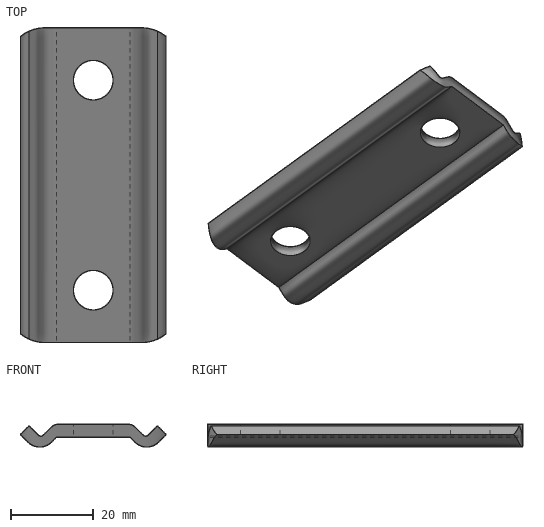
import cadquery as cq
import math

width = 35.3
length = 76.2
height = 5.56

plate_thickness = 3.175
plate_bottom_half_width = 8.9

leg_thickness = 2.62
lip_thickness = 3.0
lip_edge_drop = 2.5
shoulder_radius = 2.33
channel_radius = 0.9

hole_diameter = 9.525
hole_spacing = 50.8

corner_radius = 9.525
corner_depth = 2.15

half_width = width / 2
half_length = length / 2
root_two = math.sqrt(2)


def crossing(leg_sum, lip_difference):
    """Point (x, z) where a leg line x + z = leg_sum meets a lip line x - z = lip_difference."""
    return (leg_sum + lip_difference) / 2, (leg_sum - lip_difference) / 2


plate_bottom_corner = (plate_bottom_half_width, -plate_thickness)
leg_lower_sum = plate_bottom_half_width - plate_thickness
leg_upper_sum = leg_lower_sum + leg_thickness * root_two
shoulder = (leg_upper_sum, 0)

lip_outer = (half_width, -lip_edge_drop)
lip_step = lip_thickness / root_two
lip_inner = (half_width - lip_step, lip_step - lip_edge_drop)

channel_top = crossing(leg_upper_sum, lip_inner[0] - lip_inner[1])
channel_bottom = crossing(leg_lower_sum, lip_outer[0] - lip_outer[1])

bend_radius = (-height - channel_bottom[1]) / (root_two - 1)


def make_channel_strip():
    """Extrude the folded section along Y and round its bends."""
    right_side = [
        shoulder,
        channel_top,
        lip_inner,
        lip_outer,
        channel_bottom,
        plate_bottom_corner,
    ]
    left_side = [(-x, z) for x, z in reversed(right_side)]
    strip = (
        cq.Workplane("XZ")
        .polyline(right_side + left_side)
        .close()
        .extrude(half_length, both=True)
    )
    bends = [
        (shoulder, shoulder_radius),
        (channel_top, channel_radius),
        (channel_bottom, bend_radius),
    ]
    for (x, z), radius in bends:
        for side in (-1, 1):
            bend_edge = cq.NearestToPointSelector((side * x, 0, z))
            strip = strip.edges("|Y").edges(bend_edge).fillet(radius)
    return strip


def make_plan_outline():
    """Full-height block with the four corners swept back by arcs tangent to the ends."""
    sweep = math.acos(1 - corner_depth / corner_radius)
    corner_start = half_width - corner_radius * math.sin(sweep)
    side_y = half_length - corner_depth
    mid_x = corner_start + corner_radius * math.sin(sweep / 2)
    mid_y = half_length - corner_radius * (1 - math.cos(sweep / 2))
    return (
        cq.Workplane("XY")
        .moveTo(-corner_start, half_length)
        .lineTo(corner_start, half_length)
        .threePointArc((mid_x, mid_y), (half_width, side_y))
        .lineTo(half_width, -side_y)
        .threePointArc((mid_x, -mid_y), (corner_start, -half_length))
        .lineTo(-corner_start, -half_length)
        .threePointArc((-mid_x, -mid_y), (-half_width, -side_y))
        .lineTo(-half_width, side_y)
        .threePointArc((-mid_x, mid_y), (-corner_start, half_length))
        .close()
        .extrude(-height)
    )


def make_holes():
    """Two round holes through the plate on its centreline."""
    return (
        cq.Workplane("XY")
        .pushPoints([(0, -hole_spacing / 2), (0, hole_spacing / 2)])
        .circle(hole_diameter / 2)
        .extrude(-height)
    )


result = make_channel_strip().intersect(make_plan_outline()).cut(make_holes())